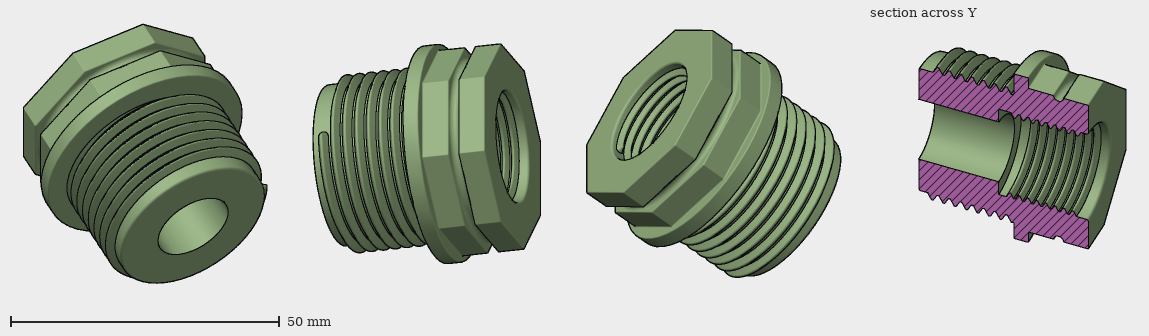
import cadquery as cq
import math

TOTAL_LENGTH = 34.4
FLANGE_START = 12.15
FLANGE_END = 15.18

FLANGE_RADIUS = 20.4
SIDE_COUNT = 8
OCTAGON_FLATS = 35.58
EDGE_FILLET = 0.25

GROOVE_WIDTH = 1.88
GROOVE_FLOOR_RADIUS = 16.75
GROOVE_LIP_RADIUS = 17.5

FLANK_ANGLE = math.radians(27.5)
THREAD_DEPTH_RATIO = 0.6403
CREST_ROUNDING_RATIO = 0.1373
MID_ARC_ANGLE = (math.pi / 2 - FLANK_ANGLE) / 2

OUTER_MINOR_RADIUS = 15.15
OUTER_THREAD_END = 32.25
OUTER_THREAD_LENGTH = 18.5
OUTER_TURNS = 8
OUTER_PITCH = OUTER_THREAD_LENGTH / OUTER_TURNS
END_FILLET = 0.5

INNER_MAJOR_RADIUS = 10.5
INNER_THREAD_START = 1.85
INNER_THREAD_LENGTH = 14.52
INNER_TURNS = 8
INNER_PITCH = INNER_THREAD_LENGTH / INNER_TURNS
SOCKET_DEPTH = INNER_THREAD_START + INNER_THREAD_LENGTH + INNER_PITCH
MOUTH_FILLET = 0.5
THROUGH_HOLE_RADIUS = 7.35

OVERLAP = 0.05


def thread_ridge(root_radius, pitch, turns, start, outward):
    """Right-hand ridge around the X axis with rounded crest and ends, from X = start on the +Y side.

    The crest points away from the axis if outward is 1 and towards it if outward is -1.
    """
    depth = THREAD_DEPTH_RATIO * pitch
    crest_rounding = CREST_ROUNDING_RATIO * pitch
    sharp_apex = depth + crest_rounding * (1 / math.sin(FLANK_ANGLE) - 1)
    flank_height = depth - crest_rounding * (1 - math.sin(FLANK_ANGLE))
    flank_half_width = crest_rounding * math.cos(FLANK_ANGLE)
    base_half_width = (sharp_apex + OVERLAP) * math.tan(FLANK_ANGLE)
    mid_arc_height = depth - crest_rounding * (1 - math.cos(MID_ARC_ANGLE))
    mid_arc_half_width = crest_rounding * math.sin(MID_ARC_ANGLE)

    base = root_radius - outward * OVERLAP
    flank_top = root_radius + outward * flank_height
    mid_arc = root_radius + outward * mid_arc_height
    crest = root_radius + outward * depth

    path = cq.Workplane(cq.Wire.makeHelix(pitch, pitch * turns, root_radius))
    helix = (
        cq.Workplane("XZ")
        .moveTo(base, -base_half_width)
        .lineTo(flank_top, -flank_half_width)
        .threePointArc((crest, 0), (flank_top, flank_half_width))
        .lineTo(base, base_half_width)
        .close()
        .sweep(path, isFrenet=True)
    )
    start_end = (
        cq.Workplane("XZ")
        .moveTo(base, 0)
        .lineTo(base, base_half_width)
        .lineTo(flank_top, flank_half_width)
        .threePointArc((mid_arc, mid_arc_half_width), (crest, 0))
        .close()
        .revolve(180, (0, 0, 0), (1, 0, 0))
    )
    finish_end = start_end.rotate((0, 0, 0), (1, 0, 0), 180).translate((0, 0, pitch * turns))
    ridge = helix.union(start_end).union(finish_end)
    return ridge.rotate((0, 0, 0), (1, 1, 1), 120).translate((start, 0, 0))


def octagon_block(start, end):
    corner_diameter = OCTAGON_FLATS / math.cos(math.pi / SIDE_COUNT)
    return (
        cq.Workplane("YZ", origin=(start, 0, 0))
        .transformed(rotate=(0, 0, 180 / SIDE_COUNT))
        .polygon(SIDE_COUNT, corner_diameter)
        .extrude(end - start)
    )


def grip():
    """Two octagonal blocks joined by a round neck with a hollow rim."""
    middle = FLANGE_START / 2
    groove_start = middle - GROOVE_WIDTH / 2
    groove_end = middle + GROOVE_WIDTH / 2
    outer_block = octagon_block(0, groove_start).edges().fillet(EDGE_FILLET)
    inner_block = octagon_block(groove_end, FLANGE_START).edges("|X or <X").fillet(EDGE_FILLET)
    neck = (
        cq.Workplane("XY")
        .moveTo(groove_start, 0)
        .lineTo(groove_start, GROOVE_LIP_RADIUS)
        .threePointArc((middle, GROOVE_FLOOR_RADIUS), (groove_end, GROOVE_LIP_RADIUS))
        .lineTo(groove_end, 0)
        .close()
        .revolve(360, (0, 0, 0), (1, 0, 0))
    )
    return outer_block.union(neck).union(inner_block)


def flanged_grip():
    flange = (
        cq.Workplane("YZ", origin=(FLANGE_START, 0, 0))
        .circle(FLANGE_RADIUS)
        .extrude(FLANGE_END - FLANGE_START)
        .edges()
        .fillet(EDGE_FILLET)
    )
    joined = grip().union(flange)
    corner_radius = OCTAGON_FLATS / 2 / math.cos(math.pi / SIDE_COUNT)
    grip_foot = cq.selectors.BoxSelector(
        (FLANGE_START - OVERLAP, -corner_radius, -corner_radius),
        (FLANGE_START + OVERLAP, corner_radius, corner_radius),
        boundingbox=True,
    )
    return joined.edges(grip_foot).fillet(EDGE_FILLET)


def outer_threaded_tube():
    tube = (
        cq.Workplane("YZ", origin=(FLANGE_START, 0, 0))
        .circle(OUTER_MINOR_RADIUS)
        .extrude(TOTAL_LENGTH - FLANGE_START)
        .faces(">X")
        .edges()
        .fillet(END_FILLET)
    )
    start = OUTER_THREAD_END - OUTER_THREAD_LENGTH
    return tube.union(thread_ridge(OUTER_MINOR_RADIUS, OUTER_PITCH, OUTER_TURNS, start, 1))


def socket():
    """Blind bore with a rounded lip and a hole through its floor, as a solid to cut."""
    lip_radius = INNER_MAJOR_RADIUS + MOUTH_FILLET
    lip_middle = MOUTH_FILLET * (1 - math.cos(math.pi / 4))
    return (
        cq.Workplane("XY")
        .lineTo(0, lip_radius)
        .threePointArc((lip_middle, INNER_MAJOR_RADIUS + lip_middle), (MOUTH_FILLET, INNER_MAJOR_RADIUS))
        .lineTo(SOCKET_DEPTH, INNER_MAJOR_RADIUS)
        .lineTo(SOCKET_DEPTH, THROUGH_HOLE_RADIUS)
        .lineTo(TOTAL_LENGTH, THROUGH_HOLE_RADIUS)
        .lineTo(TOTAL_LENGTH, 0)
        .close()
        .revolve(360, (0, 0, 0), (1, 0, 0))
    )


inner_ridge = thread_ridge(INNER_MAJOR_RADIUS, INNER_PITCH, INNER_TURNS, INNER_THREAD_START, -1)
result = flanged_grip().union(outer_threaded_tube()).cut(socket()).union(inner_ridge)